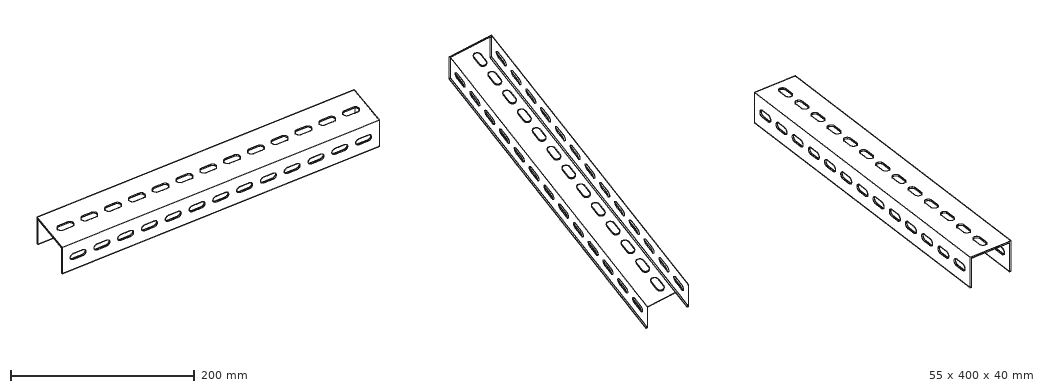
import cadquery as cq

length = 400.0
width = 55.0
height = 40.0
thickness = 2.0

slot_count = 13
slot_pitch = 30.0
slot_length = 20.0
slot_width = 9.0

flange_slot_height = (height - thickness / 2) / 2

web_cut_depth = 4 * thickness
flange_cut_depth = 2 * width


def slot_row(plane, depth):
    """Row of slots along Y, extruded symmetrically about the given plane."""
    return (
        cq.Workplane(plane)
        .rarray(slot_pitch, 4, slot_count, 1)
        .slot2D(slot_length, slot_width)
        .extrude(depth / 2, both=True)
    )


def channel():
    """U-shaped profile of constant thickness, centred on X and Y with its foot at Z = 0."""
    inner_width = width - 2 * thickness
    inner_height = height - thickness
    block = cq.Workplane("XY").box(width, length, height, centered=(True, True, False))
    inside = cq.Workplane("XY").box(inner_width, length, inner_height, centered=(True, True, False))
    return block.cut(inside)


web_plane = cq.Plane(origin=(0, 0, height), xDir=(0, 1, 0), normal=(0, 0, 1))
flange_plane = cq.Plane(origin=(0, 0, flange_slot_height), xDir=(0, 1, 0), normal=(1, 0, 0))

web_slots = slot_row(web_plane, web_cut_depth)
flange_slots = slot_row(flange_plane, flange_cut_depth)

result = channel().cut(web_slots).cut(flange_slots)